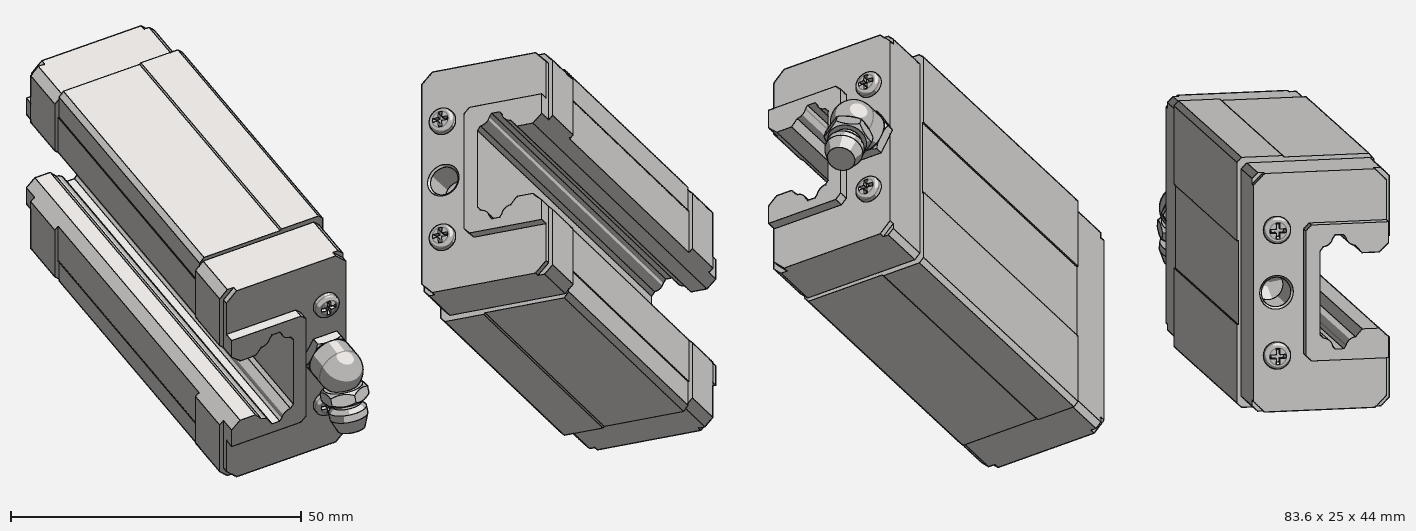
import cadquery as cq
import math


BLOCK_LENGTH = 50.6
CAP_LENGTH = 68.0
PLATE_LENGTH = 70.05
CARRIAGE_LENGTH = 73.8

BLOCK_BOTTOM = 0.7
BLOCK_TOP = 25.0
BLOCK_UPPER_HALF_WIDTH = 22.0
BLOCK_LOWER_HALF_WIDTH = 21.7
BLOCK_SIDE_STEP_Y = 16.9
BLOCK_TOP_CHAMFER = 0.8
BLOCK_BOTTOM_CHAMFER = 1.0
TOP_RECESS_HALF_WIDTH = 7.35
TOP_RECESS_DEPTH = 0.25
FOOT_STEP_HALF_WIDTH = 16.2
FOOT_STEP = 0.2

CAP_TOP = 24.25
CAP_HALF_WIDTH = 21.0
CAP_TOP_CHAMFER = 1.0
CAP_BOTTOM_CHAMFER = 1.5
PLATE_BOTTOM = 0.75
PLATE_CHAMFER = 2.0

PAD_TOP = 15.4
PAD_HALF_WIDTH = 11.95
PAD_CHAMFER = 1.0

SLOT_FLOOR_Y = 12.9
SLOT_FLOOR_HALF_WIDTH = 7.3
GROOVE_Y = 9.45
GROOVE_BED_HALF_WIDTH = 10.0
GROOVE_BED_HALF_HEIGHT = 0.75
GROOVE_FLANK_HALF_HEIGHT = 1.2
GROOVE_FLANK_HALF_WIDTH = 9.45
GROOVE_ARC_HALF_HEIGHT = 1.9
GROOVE_ARC_HALF_WIDTH = 8.4
GROOVE_EDGE_HALF_HEIGHT = 2.85
GROOVE_EDGE_HALF_WIDTH = 8.0
LIP_TOP_Y = 5.4
LIP_BOTTOM_Y = 2.4
LIP_HALF_WIDTH = 6.7
MOUTH_HALF_WIDTH = 8.95

PORT_Y = 20.15
PORT_DIAMETER = 5.2
PORT_RIM_DIAMETER = 5.9
PORT_DEPTH = 6.7
PORT_TIP_ANGLE = 118

SCREW_Z = 11.0
SCREW_RADIUS = 2.3
SCREW_RIM_HEIGHT = 0.75
SCREW_CROWN_RADIUS = 1.5
SCREW_CROWN_HEIGHT = 1.3
SCREW_HEIGHT = 1.5
RECESS_RADIUS = 1.5
RECESS_WIDTH = 0.7
RECESS_CORE_RADIUS = 0.5
RECESS_DEPTH = 0.9
RECESS_TAPER = 25

ELBOW_HEX_RADIUS = 4.6
ELBOW_HEX_FACE_RADIUS = 4.2
ELBOW_HEX_CHAMFER_ANGLE = 45
ELBOW_RADIUS = 4.0
ELBOW_CENTRE_X = 40.4
NIPPLE_ANGLE = 68
NIPPLE_HEX_ACROSS_FLATS = 7.3
NIPPLE_HEX_START = 3.0
NIPPLE_HEX_END = 5.6
NIPPLE_HEX_FACE_RADIUS = 3.4
NIPPLE_HEX_CONE_RADIUS = 5.0
NIPPLE_NECK_RADIUS = 2.6
NIPPLE_NECK_END = 6.35
NIPPLE_HEAD_RADIUS = 3.35
NIPPLE_HEAD_START = 7.2
NIPPLE_HEAD_END = 8.5
NIPPLE_TIP_RADIUS = 2.4
NIPPLE_TIP_END = 10.9
NIPPLE_DOME_HEIGHT = 0.3

PLATE_FACE_X = PLATE_LENGTH / 2
PAD_FACE_X = CARRIAGE_LENGTH / 2


def symmetric_bar(half_outline, length):
    """Bar along X whose (Y, Z) section is half_outline plus its mirror image across Z = 0."""
    mirrored = [(y, -z) for y, z in reversed(half_outline)]
    return cq.Workplane("YZ").polyline(half_outline + mirrored).close().extrude(length / 2, both=True)


def chamfered_bar(length, bottom, top, half_width, bottom_chamfer, top_chamfer):
    """Rectangular bar along X with chamfered lower and upper edges."""
    outline = [
        (bottom, half_width - bottom_chamfer),
        (bottom + bottom_chamfer, half_width),
        (top - top_chamfer, half_width),
        (top, half_width - top_chamfer),
    ]
    return symmetric_bar(outline, length)


def shallow_dome_middle(rim_x, rim_radius, top_x):
    """Point halfway out on a spherical dome about the X axis that rises from its rim to its top."""
    rise = top_x - rim_x
    sphere_radius = (rim_radius**2 + rise**2) / (2 * rise)
    half_out = rim_radius / 2
    return (top_x - sphere_radius + math.sqrt(sphere_radius**2 - half_out**2), half_out)


def block():
    """Steel block with stepped sides, stepped feet and a shallow recess along its top."""
    side_step = BLOCK_UPPER_HALF_WIDTH - BLOCK_LOWER_HALF_WIDTH
    recess_y = BLOCK_TOP - TOP_RECESS_DEPTH
    return symmetric_bar(
        [
            (BLOCK_BOTTOM, FOOT_STEP_HALF_WIDTH),
            (BLOCK_BOTTOM + FOOT_STEP, FOOT_STEP_HALF_WIDTH),
            (BLOCK_BOTTOM + FOOT_STEP, BLOCK_LOWER_HALF_WIDTH - BLOCK_BOTTOM_CHAMFER),
            (BLOCK_BOTTOM + BLOCK_BOTTOM_CHAMFER, BLOCK_LOWER_HALF_WIDTH),
            (BLOCK_SIDE_STEP_Y - side_step, BLOCK_LOWER_HALF_WIDTH),
            (BLOCK_SIDE_STEP_Y, BLOCK_UPPER_HALF_WIDTH),
            (BLOCK_TOP - BLOCK_TOP_CHAMFER, BLOCK_UPPER_HALF_WIDTH),
            (BLOCK_TOP, BLOCK_UPPER_HALF_WIDTH - BLOCK_TOP_CHAMFER),
            (BLOCK_TOP, TOP_RECESS_HALF_WIDTH),
            (recess_y, TOP_RECESS_HALF_WIDTH),
        ],
        BLOCK_LENGTH,
    )


def rail_slot():
    """Slot for the rail, with a groove along each side between two rounded shoulders."""
    half_slot = (
        cq.Workplane("YZ")
        .moveTo(0, 0)
        .lineTo(SLOT_FLOOR_Y, 0)
        .lineTo(SLOT_FLOOR_Y, SLOT_FLOOR_HALF_WIDTH)
        .lineTo(GROOVE_Y + GROOVE_EDGE_HALF_HEIGHT, GROOVE_EDGE_HALF_WIDTH)
        .threePointArc(
            (GROOVE_Y + GROOVE_ARC_HALF_HEIGHT, GROOVE_ARC_HALF_WIDTH),
            (GROOVE_Y + GROOVE_FLANK_HALF_HEIGHT, GROOVE_FLANK_HALF_WIDTH),
        )
        .lineTo(GROOVE_Y + GROOVE_BED_HALF_HEIGHT, GROOVE_BED_HALF_WIDTH)
        .lineTo(GROOVE_Y - GROOVE_BED_HALF_HEIGHT, GROOVE_BED_HALF_WIDTH)
        .lineTo(GROOVE_Y - GROOVE_FLANK_HALF_HEIGHT, GROOVE_FLANK_HALF_WIDTH)
        .threePointArc(
            (GROOVE_Y - GROOVE_ARC_HALF_HEIGHT, GROOVE_ARC_HALF_WIDTH),
            (GROOVE_Y - GROOVE_EDGE_HALF_HEIGHT, GROOVE_EDGE_HALF_WIDTH),
        )
        .lineTo(LIP_TOP_Y, LIP_HALF_WIDTH)
        .lineTo(LIP_BOTTOM_Y, LIP_HALF_WIDTH)
        .lineTo(0, MOUTH_HALF_WIDTH)
        .close()
        .extrude(CARRIAGE_LENGTH / 2, both=True)
    )
    return half_slot.union(half_slot.mirror("XY"))


def wiper_pads():
    """Bar that leaves a pad standing out of both end plates."""
    return symmetric_bar(
        [
            (PLATE_BOTTOM, PAD_HALF_WIDTH),
            (PAD_TOP - PAD_CHAMFER, PAD_HALF_WIDTH),
            (PAD_TOP, PAD_HALF_WIDTH - PAD_CHAMFER),
        ],
        CARRIAGE_LENGTH,
    )


def lubrication_port():
    """Blind hole with a countersunk rim and a drill tip, entering at the -X end."""
    radius = PORT_DIAMETER / 2
    rim_radius = PORT_RIM_DIAMETER / 2
    tip_length = radius / math.tan(math.radians(PORT_TIP_ANGLE / 2))
    profile = [
        (0, 0),
        (0, rim_radius),
        (rim_radius - radius, radius),
        (PORT_DEPTH, radius),
        (PORT_DEPTH + tip_length, 0),
    ]
    port = cq.Workplane("XY").polyline(profile).close().revolve(360, (0, 0), (1, 0))
    return port.translate((-PLATE_FACE_X, PORT_Y, 0))


def make_carriage():
    """Block, end caps, end plates and wiper pads in one solid."""
    caps = chamfered_bar(CAP_LENGTH, 0, CAP_TOP, CAP_HALF_WIDTH, CAP_BOTTOM_CHAMFER, CAP_TOP_CHAMFER)
    plates = chamfered_bar(
        PLATE_LENGTH, PLATE_BOTTOM, CAP_TOP, CAP_HALF_WIDTH, PLATE_CHAMFER, PLATE_CHAMFER
    )
    ends = caps.union(plates).union(wiper_pads())
    block_space = cq.Workplane("XY").box(BLOCK_LENGTH, 2 * CAP_TOP, 2 * BLOCK_UPPER_HALF_WIDTH)
    solid = ends.cut(block_space.translate((0, CAP_TOP / 2, 0))).union(block())
    return solid.cut(rail_slot()).cut(lubrication_port())


def screw_recess():
    """Cross recess along X whose four arms slope in towards a round core at its floor."""
    mouth = cq.Workplane("YZ", origin=(SCREW_HEIGHT, 0, 0))
    recess = mouth.circle(RECESS_CORE_RADIUS).extrude(-RECESS_DEPTH)
    for width, height in [(2 * RECESS_RADIUS, RECESS_WIDTH), (RECESS_WIDTH, 2 * RECESS_RADIUS)]:
        recess = recess.union(mouth.rect(width, height).extrude(-RECESS_DEPTH))
    return recess.intersect(mouth.circle(RECESS_RADIUS).extrude(-RECESS_DEPTH, taper=RECESS_TAPER))


def make_screw(side, z):
    """Domed screw head seated on the end plate at the +X (side = 1) or -X (side = -1) end."""
    shoulder_run = SCREW_RADIUS - SCREW_CROWN_RADIUS
    shoulder_rise = SCREW_CROWN_HEIGHT - SCREW_RIM_HEIGHT
    shoulder_middle = (
        SCREW_RIM_HEIGHT + shoulder_rise * math.sin(math.pi / 4),
        SCREW_CROWN_RADIUS + shoulder_run * math.cos(math.pi / 4),
    )
    crown_edge = (SCREW_CROWN_HEIGHT, SCREW_CROWN_RADIUS)
    dome_middle = shallow_dome_middle(SCREW_CROWN_HEIGHT, SCREW_CROWN_RADIUS, SCREW_HEIGHT)
    head = (
        cq.Workplane("XY")
        .lineTo(0, SCREW_RADIUS)
        .lineTo(SCREW_RIM_HEIGHT, SCREW_RADIUS)
        .threePointArc(shoulder_middle, crown_edge)
        .threePointArc(dome_middle, (SCREW_HEIGHT, 0))
        .close()
        .revolve(360, (0, 0), (1, 0))
    )
    head = head.cut(screw_recess())
    if side < 0:
        head = head.mirror("YZ")
    return head.translate((side * PLATE_FACE_X, PORT_Y, z))


def elbow_hex():
    """Hexagonal base of the elbow, corners towards +Y and -Y, outer corners chamfered."""
    thickness = PAD_FACE_X - PLATE_FACE_X
    base = cq.Workplane("YZ").polygon(6, 2 * ELBOW_HEX_RADIUS).extrude(thickness)
    chamfer_run = thickness * math.tan(math.radians(ELBOW_HEX_CHAMFER_ANGLE))
    chamfer_cone = (
        cq.Workplane("YZ")
        .circle(ELBOW_HEX_FACE_RADIUS + chamfer_run)
        .extrude(thickness, taper=ELBOW_HEX_CHAMFER_ANGLE)
    )
    return base.intersect(chamfer_cone).translate((PLATE_FACE_X, PORT_Y, 0))


def nipple_head():
    """Grease nipple along +X from the elbow centre: hexagon, neck, ball head and tapered tip."""
    hex_radius = NIPPLE_HEX_ACROSS_FLATS / math.sqrt(3)
    hex_length = NIPPLE_HEX_END - NIPPLE_HEX_START
    double_cone = [
        (NIPPLE_HEX_START, 0),
        (NIPPLE_HEX_START, NIPPLE_HEX_FACE_RADIUS),
        (NIPPLE_HEX_START + hex_length / 2, NIPPLE_HEX_CONE_RADIUS),
        (NIPPLE_HEX_END, NIPPLE_HEX_FACE_RADIUS),
        (NIPPLE_HEX_END, 0),
    ]
    hexagon = (
        cq.Workplane("YZ", origin=(NIPPLE_HEX_START, 0, 0))
        .transformed(rotate=(0, 0, 90))
        .polygon(6, 2 * hex_radius)
        .extrude(hex_length)
        .intersect(cq.Workplane("XY").polyline(double_cone).close().revolve(360, (0, 0), (1, 0)))
    )
    stem_outline = [
        (0, 0),
        (0, NIPPLE_NECK_RADIUS),
        (NIPPLE_NECK_END, NIPPLE_NECK_RADIUS),
        (NIPPLE_HEAD_START, NIPPLE_HEAD_RADIUS),
        (NIPPLE_HEAD_END, NIPPLE_HEAD_RADIUS),
        (NIPPLE_TIP_END, NIPPLE_TIP_RADIUS),
    ]
    dome_top = NIPPLE_TIP_END + NIPPLE_DOME_HEIGHT
    dome_middle = shallow_dome_middle(NIPPLE_TIP_END, NIPPLE_TIP_RADIUS, dome_top)
    stem = (
        cq.Workplane("XY")
        .polyline(stem_outline)
        .threePointArc(dome_middle, (dome_top, 0))
        .close()
        .revolve(360, (0, 0), (1, 0))
    )
    return hexagon.union(stem)


def make_grease_nipple():
    """Elbow on the +X end plate, carrying a nipple that points steeply towards -Z."""
    tube = (
        cq.Workplane("YZ", origin=(PAD_FACE_X, PORT_Y, 0))
        .circle(ELBOW_RADIUS)
        .extrude(ELBOW_CENTRE_X - PAD_FACE_X)
    )
    ball = cq.Workplane("XY").sphere(ELBOW_RADIUS).translate((ELBOW_CENTRE_X, PORT_Y, 0))
    head = nipple_head().rotate((0, 0, 0), (0, 1, 0), NIPPLE_ANGLE)
    head = head.translate((ELBOW_CENTRE_X, PORT_Y, 0))
    return elbow_hex().union(tube).union(ball).union(head)


carriage = make_carriage()
screws = [make_screw(side, z) for side in (-1, 1) for z in (-SCREW_Z, SCREW_Z)]
grease_nipple = make_grease_nipple()

result = cq.Compound.makeCompound(
    [carriage.val(), *[screw.val() for screw in screws], grease_nipple.val()]
)